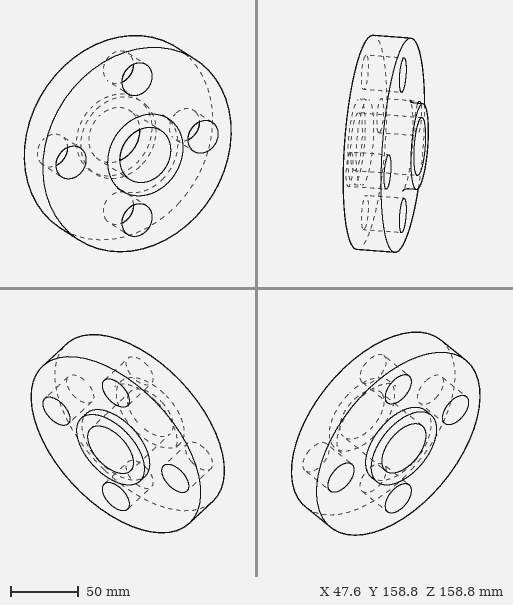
import cadquery as cq

boss_length = 6.35
flange_thickness = 28.575
neck_fillet_radius = 6.35
neck_straight_length = 6.35

flange_diameter = 158.75
hub_diameter = 63.5
bore_diameter = 42.85

bolt_count = 4
bolt_hole_diameter = 25.4
bolt_circle_diameter = 111.125

boss_end = -boss_length
flange_back = flange_thickness
neck_fillet_end = flange_back + neck_fillet_radius
neck_end = neck_fillet_end + neck_straight_length


def flange_body():
    """Bored flange with a boss on its -X face and a filleted neck on its +X face."""
    flange_radius = flange_diameter / 2
    hub_radius = hub_diameter / 2
    bore_radius = bore_diameter / 2
    profile = (
        cq.Workplane("XZ")
        .moveTo(boss_end, bore_radius)
        .lineTo(boss_end, hub_radius)
        .lineTo(0, hub_radius)
        .lineTo(0, flange_radius)
        .lineTo(flange_back, flange_radius)
        .lineTo(flange_back, hub_radius + neck_fillet_radius)
        .radiusArc((neck_fillet_end, hub_radius), -neck_fillet_radius)
        .lineTo(neck_end, hub_radius)
        .lineTo(neck_end, bore_radius)
        .close()
    )
    return profile.revolve(360, (0, 0, 0), (1, 0, 0))


def bolt_holes():
    """Cutters spaced evenly on the bolt circle, the first on the Y axis."""
    return (
        cq.Workplane("YZ")
        .polarArray(bolt_circle_diameter / 2, 0, 360, bolt_count)
        .circle(bolt_hole_diameter / 2)
        .extrude(flange_thickness)
    )


result = flange_body().cut(bolt_holes())